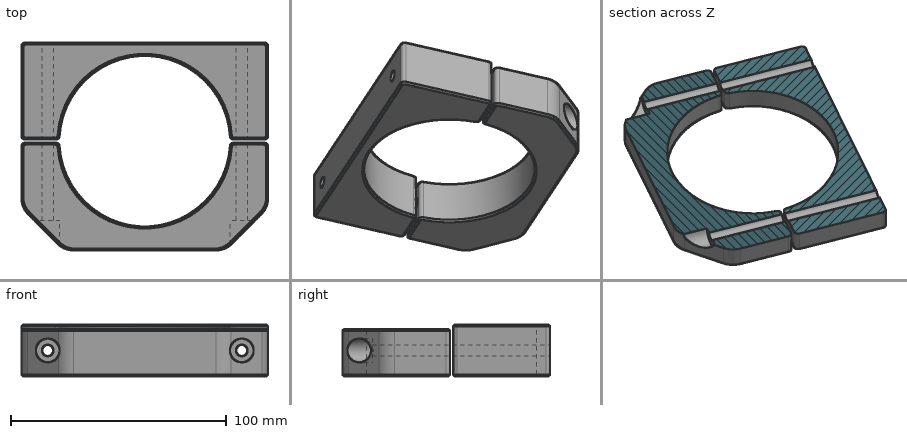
import cadquery as cq

width = 114.4
back_depth = 45.1
front_depth = 50.0
split_gap = 1.4
back_height = 24.0
front_height = 22.0

bore_diameter = 79.2
corner_radius = 2.0
edge_chamfer = 0.9
front_corner_cut = 20.0
front_corner_radius = 10.0

screw_spacing = 90.0
screw_diameter = 5.1
screw_height = back_height / 2
head_diameter = 11.0
head_seat_depth = 36.0

half_width = width / 2
split_back = split_gap / 2
split_front = -split_gap / 2
back_face = split_back + back_depth
front_face = split_front - front_depth
head_seat = split_front - head_seat_depth


def cut_bore(block, height):
    """Cut the half-round bore out of a block."""
    return block.cut(cq.Workplane("XY").circle(bore_diameter / 2).extrude(height))


def chamfer_rims(half):
    """Chamfer every edge of the top and bottom faces."""
    return half.faces("|Z").edges().chamfer(edge_chamfer)


def screw_cylinder(x, diameter, start, end):
    """Cylinder along Y, from start towards -Y as far as end."""
    return (
        cq.Workplane("XZ", origin=(x, start, screw_height))
        .circle(diameter / 2)
        .extrude(start - end)
    )


def drill_screw_holes(half):
    """Drill the through holes and the screw head counterbores that meet this half."""
    for x in (-screw_spacing / 2, screw_spacing / 2):
        half = half.cut(screw_cylinder(x, screw_diameter, back_face, front_face))
        half = half.cut(screw_cylinder(x, head_diameter, head_seat, front_face))
    return half


def make_back_half():
    """Rectangular base half of the clamp."""
    half = (
        cq.Workplane("XY")
        .center(0, (split_back + back_face) / 2)
        .rect(width, back_depth)
        .extrude(back_height)
    )
    half = cut_bore(half, back_height)
    half = half.edges("|Z").fillet(corner_radius)
    half = chamfer_rims(half)
    return drill_screw_holes(half)


def make_front_half():
    """Thinner clamp half with its two outer corners cut at 45 degrees."""
    cut_x = half_width - front_corner_cut
    cut_y = front_face + front_corner_cut
    half = (
        cq.Workplane("XY")
        .moveTo(-half_width, split_front)
        .lineTo(-half_width, cut_y)
        .lineTo(-cut_x, front_face)
        .lineTo(cut_x, front_face)
        .lineTo(half_width, cut_y)
        .lineTo(half_width, split_front)
        .close()
        .extrude(front_height)
    )
    half = half.edges("|Z and (not >Y)").fillet(front_corner_radius)
    half = cut_bore(half, front_height)
    half = half.faces(">Y").edges("|Z").fillet(corner_radius)
    half = chamfer_rims(half)
    return drill_screw_holes(half)


back_half = make_back_half()
front_half = make_front_half()
result = cq.Compound.makeCompound([back_half.val(), front_half.val()])